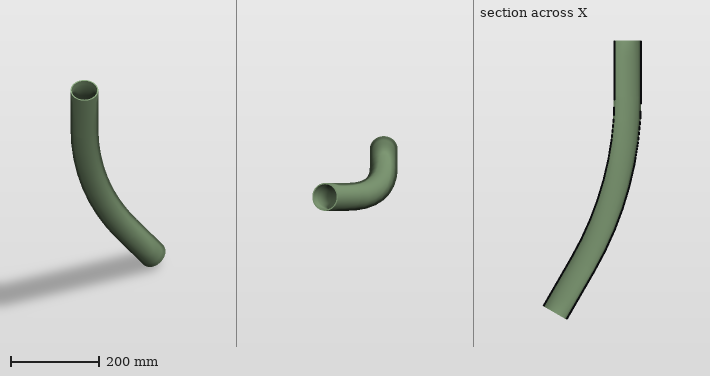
import cadquery as cq
import math

outer_diameter = 63.5
inner_diameter = 57.5
overall_height = 634.0
bend_radius = 760.5
bend_angle = 30.0

bend_sine = math.sin(math.radians(bend_angle))
bend_cosine = math.cos(math.radians(bend_angle))
bend_and_rim_height = (bend_radius + outer_diameter / 2) * bend_sine
leg_length = (overall_height - bend_and_rim_height) / (1 + bend_cosine)


def bend_point(angle_degrees):
    """Centreline point (y, z) at the given angle along the bend, below the upper leg."""
    angle = math.radians(angle_degrees)
    y = bend_radius * (1 - math.cos(angle))
    z = -leg_length - bend_radius * math.sin(angle)
    return y, z


bend_end_y, bend_end_z = bend_point(bend_angle)
lower_end = (
    bend_end_y + leg_length * bend_sine,
    bend_end_z - leg_length * bend_cosine,
)
centreline = (
    cq.Workplane("YZ")
    .lineTo(0, -leg_length)
    .threePointArc(bend_point(bend_angle / 2), (bend_end_y, bend_end_z))
    .lineTo(*lower_end)
)

ring = cq.Workplane("XY").circle(outer_diameter / 2).circle(inner_diameter / 2)
result = ring.sweep(centreline)